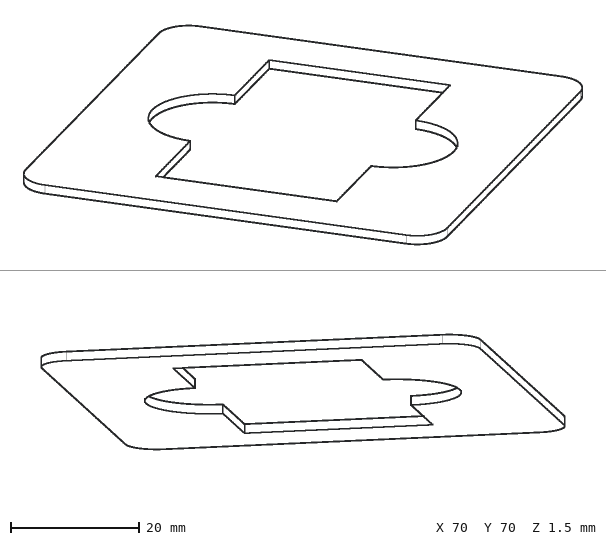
import cadquery as cq

plate_side = 70.0
plate_thickness = 1.5
corner_radius = 5.0

window_width = 30.0
window_height = 51.2
lobe_radius = 10.0


def make_plate():
    """Flat square plate with rounded vertical corners."""
    plate = cq.Workplane("XY").box(plate_side, plate_side, plate_thickness)
    return plate.edges("|Z").fillet(corner_radius)


def make_window():
    """Cutter for the window; the lobes are centred on the rectangle's sides."""
    rectangle = cq.Workplane("XY").box(window_width, window_height, plate_thickness)
    lobes = (
        cq.Workplane("XY")
        .slot2D(window_width + 2 * lobe_radius, 2 * lobe_radius)
        .extrude(plate_thickness / 2, both=True)
    )
    return rectangle.union(lobes)


result = make_plate().cut(make_window())